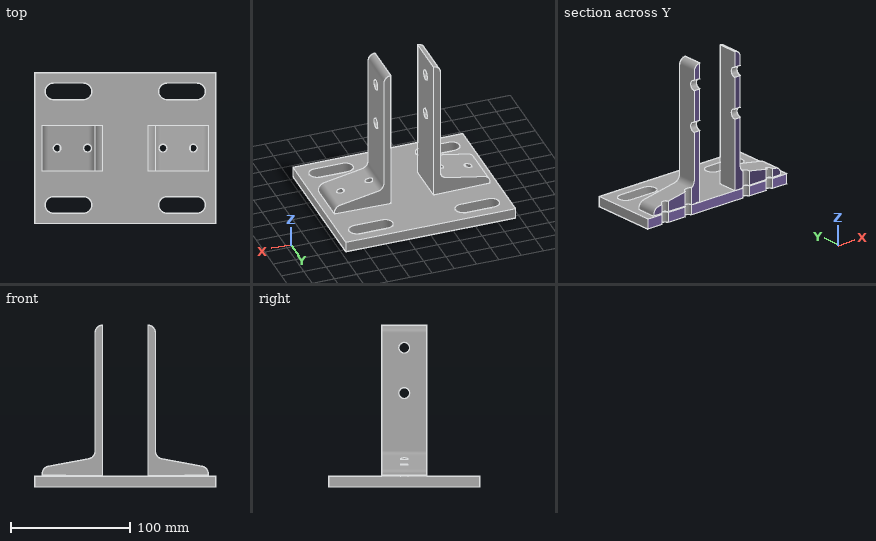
import cadquery as cq
import math

PLATE_LENGTH = 152.4
PLATE_WIDTH = 127.0
PLATE_THICKNESS = 9.5

SLOT_LENGTH = 39.0
SLOT_WIDTH = 13.7
SLOT_X = 47.7
SLOT_Y = 47.7

TOTAL_HEIGHT = 136.2
BRACKET_HEIGHT = TOTAL_HEIGHT - PLATE_THICKNESS
BRACKET_WIDTH = 38.1
BRACKET_GAP = 38.1
UPRIGHT_THICKNESS = 6.4
FOOT_LENGTH = 50.7
FOOT_TIP_HEIGHT = 7.3
FOOT_SLOPE = 10.5
TIP_CLEARANCE = 0.69
ROUND_RADIUS = 6.4
HEEL_X = BRACKET_GAP / 2
TIP_X = HEEL_X + FOOT_LENGTH
UPRIGHT_FACE_X = HEEL_X + UPRIGHT_THICKNESS

UPRIGHT_HOLE_DIAMETER = 8.8
UPRIGHT_HOLE_SPACING = 38.1
TOP_HOLE_DROP = 19.0

FOOT_HOLE_DIAMETER = 6.4
FOOT_HOLE_INSET = 12.6
INNER_HOLE_X = HEEL_X + FOOT_HOLE_INSET
OUTER_HOLE_X = TIP_X - FOOT_HOLE_INSET
OUTER_HOLE_LIP_X = 54.9

SIDES = (-1, 1)


def foot_top_height(x):
    """Height of the foot's sloping top above the plate at distance x from the centre."""
    return FOOT_TIP_HEIGHT + (TIP_X - x) * math.tan(math.radians(FOOT_SLOPE))


def vertical_hole(x, bottom, top):
    """Upright cylinder that cuts a foot hole between two heights."""
    return (
        cq.Workplane("XY", origin=(x, 0, bottom))
        .circle(FOOT_HOLE_DIAMETER / 2)
        .extrude(top - bottom)
    )


def foot_holes(side):
    """Cutters for the two holes of one bracket; the outer one stops just short of its high edge."""
    inner = vertical_hole(side * INNER_HOLE_X, 0, TOTAL_HEIGHT)
    outer_top = PLATE_THICKNESS + foot_top_height(OUTER_HOLE_LIP_X)
    outer = vertical_hole(side * OUTER_HOLE_X, 0, outer_top)
    return inner.union(outer)


def make_plate():
    slots = [(sx * SLOT_X, sy * SLOT_Y) for sx in SIDES for sy in SIDES]
    plate = (
        cq.Workplane("XY")
        .rect(PLATE_LENGTH, PLATE_WIDTH)
        .extrude(PLATE_THICKNESS)
        .faces(">Z")
        .workplane()
        .pushPoints(slots)
        .slot2D(SLOT_LENGTH, SLOT_WIDTH)
        .cutThruAll()
    )
    for side in SIDES:
        plate = plate.cut(foot_holes(side))
    return plate.solids()


def bracket_blank():
    """Bracket on the +X side without holes: an L profile with a sloping foot."""
    root_height = foot_top_height(UPRIGHT_FACE_X)
    blank = (
        cq.Workplane("XZ", origin=(0, BRACKET_WIDTH / 2, PLATE_THICKNESS))
        .moveTo(HEEL_X, 0)
        .lineTo(TIP_X, TIP_CLEARANCE)
        .lineTo(TIP_X, FOOT_TIP_HEIGHT)
        .lineTo(UPRIGHT_FACE_X, root_height)
        .lineTo(UPRIGHT_FACE_X, BRACKET_HEIGHT - UPRIGHT_THICKNESS)
        .tangentArcPoint((HEEL_X, BRACKET_HEIGHT), relative=False)
        .close()
        .extrude(BRACKET_WIDTH)
    )
    rounded_corners = [(UPRIGHT_FACE_X, root_height), (TIP_X, FOOT_TIP_HEIGHT)]
    for x, height in rounded_corners:
        corner = cq.selectors.NearestToPointSelector((x, 0, PLATE_THICKNESS + height))
        blank = blank.edges("|Y").edges(corner).fillet(ROUND_RADIUS)
    return blank


def upright_holes():
    """Cutters for the two holes through the upright on the +X side."""
    upper_z = TOTAL_HEIGHT - TOP_HOLE_DROP
    return (
        cq.Workplane("YZ", origin=(HEEL_X, 0, 0))
        .pushPoints([(0, upper_z), (0, upper_z - UPRIGHT_HOLE_SPACING)])
        .circle(UPRIGHT_HOLE_DIAMETER / 2)
        .extrude(UPRIGHT_THICKNESS)
    )


def make_bracket(side):
    """Bracket on the +X side (side = 1) or its mirror image on the -X side (side = -1)."""
    bracket = bracket_blank().cut(upright_holes())
    if side < 0:
        bracket = bracket.mirror("YZ")
    return bracket.cut(foot_holes(side)).solids()


base_plate = make_plate()
brackets = [make_bracket(side) for side in SIDES]

result = cq.Compound.makeCompound([base_plate.val(), *[bracket.val() for bracket in brackets]])